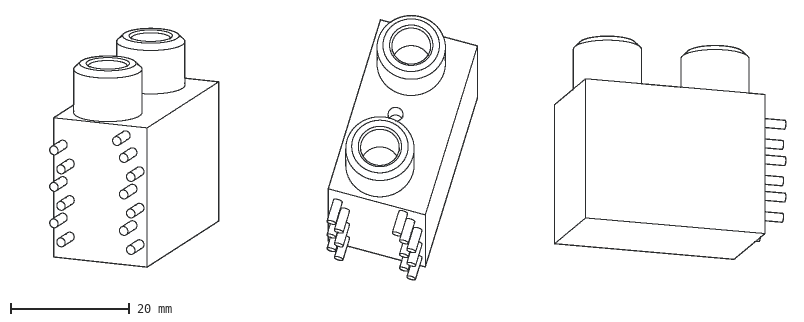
import cadquery as cq

body_width = 17.0
body_depth = 31.75
body_height = 24.3

socket_x = 7.2
socket_front_y = 6.55
socket_pitch = 19.02
socket_diameter = 11.5
socket_height = 8.58
socket_chamfer = 1.0
bore_diameter = 6.5
bore_chamfer = 0.4
bore_depth = socket_height

hole_diameter = 2.5
hole_depth = 3.58

pin_diameter = 1.55
pin_length = 35.75 - body_depth
pin_column_x = 1.7
pin_column_pitch = 12.7
pin_stagger = 1.3
pin_rows = 6
pin_bottom_z = 3.9
pin_row_pitch = 3.18
single_pin_x = 13.15
single_pin_z = 22.63

top_z = body_height + socket_height
socket_centers = [
    (socket_x, socket_front_y),
    (socket_x, socket_front_y + socket_pitch),
]


def make_socket(x, y):
    """Solid cylinder with a chamfered top rim."""
    base = cq.Workplane("XY", origin=(x, y, body_height))
    cylinder = base.circle(socket_diameter / 2).extrude(socket_height)
    return cylinder.faces(">Z").edges().chamfer(socket_chamfer)


def make_bore(x, y):
    """Blind bore with a countersunk mouth, as one revolved cutter."""
    radius = bore_diameter / 2
    profile = [
        (0, 0),
        (radius + bore_chamfer, 0),
        (radius, -bore_chamfer),
        (radius, -bore_depth),
        (0, -bore_depth),
    ]
    outline = cq.Workplane("XZ", origin=(x, y, top_z)).polyline(profile).close()
    return outline.revolve(360, (0, 0), (0, 1))


def pin_centers():
    """X and Z of every pin; even rows are shifted sideways from odd rows."""
    centers = [(single_pin_x, single_pin_z)]
    for row in range(pin_rows):
        shift = pin_stagger if row % 2 == 0 else 0
        z = pin_bottom_z + row * pin_row_pitch
        for column in range(2):
            centers.append((pin_column_x + column * pin_column_pitch + shift, z))
    return centers


result = cq.Workplane("XY").box(body_width, body_depth, body_height, centered=False)

for x, y in socket_centers:
    result = result.union(make_socket(x, y)).cut(make_bore(x, y))

hole_y = socket_front_y + socket_pitch / 2
hole = (
    cq.Workplane("XY", origin=(socket_x, hole_y, body_height))
    .circle(hole_diameter / 2)
    .extrude(-hole_depth)
)
result = result.cut(hole)

pins = cq.Workplane("XZ").pushPoints(pin_centers()).circle(pin_diameter / 2).extrude(pin_length)
result = result.union(pins)